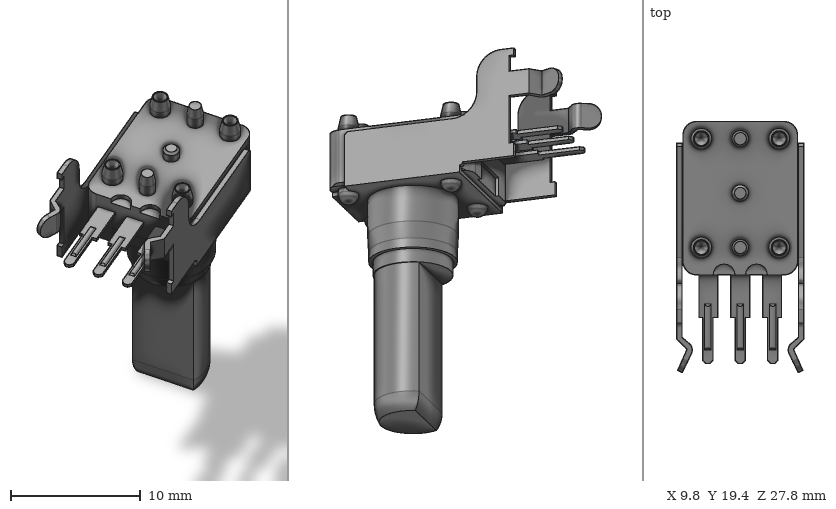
import cadquery as cq
import math


bracket_width = 9.8
bracket_half_width = bracket_width / 2
sheet = 0.42
wall_inner_x = bracket_half_width - sheet
plate_thickness = 0.33
plate_front_y = -5.55
wall_rear_y = 3.86
wall_top_z = 4.45
wall_rear_corner_radius = 0.25
wall_step_z = 0.8
wall_step_radius = 0.25
wall_front_y = -9.62
lip_front_y = -10.0
lower_lip_top_z = 1.9
upper_lip_bottom_z = 9.05
bracket_top_z = 9.65
horn_rear_y = -6.98
horn_sweep_radius = 2.0
horn_corner_radius = 2.0
bend_radius = 0.15

leg_bottom_z = 5.78
leg_width = 2.0
leg_tip_y = -13.85
leg_tip_flat = 0.05
leg_tip_radius = (leg_width - leg_tip_flat) / 2
leg_bend_y = -11.12
leg_elbow_x = 3.7
leg_elbow_y = -12.05
leg_elbow_rise = 0.4
leg_elbow_inset = 0.17
leg_tip_x = 4.48
leg_tip_lean = 0.17
leg_tip_width = 0.35
leg_bend_offset = 0.15

body_half_width = 4.42
body_rear_y = 5.53
body_front_y = -6.3
body_top_z = 4.86
body_corner_radius = 1.05
body_relief = 0.2
notch_spacing = 2.5
notch_radius = 0.83
notch_depth = 0.42
window_width = 3.98
window_top_z = 1.8
window_depth = 0.28

rivet_x = 3.0
peg_y = 4.2
rivet_radius = 0.8
rivet_tip_radius = 0.6
rivet_shoulder_z = 5.45
rivet_top_z = 6.35
rivet_hole_radius = 0.53
rivet_hole_depth = 0.83
dome_depth = 0.78
peg_radius = 0.65
peg_tip_radius = 0.47
peg_shoulder_z = 5.85
peg_top_z = 6.67
stud_top_z = 5.75
stud_chamfer = 0.2

bushing_radius = 3.5
bushing_straight_z = -2.92
bushing_end_radius = 3.42
bushing_taper_z = -4.28
bushing_end_z = -5.03
collar_radius = 3.09
collar_end_z = -6.12
shaft_radius = 3.0
shaft_end_z = -18.15
shaft_crown_z = -16.68
shaft_crown_inset = 0.4
flat_y = -1.45

terminal_pitch = 2.5
terminal_bottom_z = 3.3
terminal_thickness = 0.28
terminal_width = 1.47
terminal_half_width = terminal_width / 2
outer_terminal_shift = 0.042
pin_width = 0.8
pin_half_width = pin_width / 2
pin_shoulder_y = -9.6
pin_tip_y = -13.15
pin_tip_chamfer = 0.25
bead_rear_y = -8.55
bead_front_y = -12.1
bead_half_width = 0.235
bead_height = 0.15
bead_end_slope = 0.17

both_sides = (-1, 1)


def box(x0, x1, y0, y1, z0, z1):
    return cq.Workplane("XY").box(x1 - x0, y1 - y0, z1 - z0, centered=False).translate((x0, y0, z0))


def turned(profile):
    """Revolve an outline drawn as (radius, z) about the Z axis."""
    return profile.close().revolve(360, (0, 0, 0), (0, 1, 0))


def mirrored_pair(right_half):
    return right_half.union(right_half.mirror("YZ"))


def make_body():
    body = box(-body_half_width, body_half_width, body_front_y, body_rear_y, plate_thickness, body_top_z)
    body = body.edges("|Z").fillet(body_corner_radius)
    bevel = (
        cq.Workplane("XZ", origin=(0, body_rear_y, 0))
        .moveTo(body_half_width - body_relief, plate_thickness)
        .lineTo(body_half_width, plate_thickness)
        .lineTo(body_half_width, plate_thickness + body_relief)
        .close()
        .extrude(body_rear_y - body_front_y)
    )
    body = body.cut(mirrored_pair(bevel))
    notches = (
        cq.Workplane("XY", origin=(0, body_front_y, body_top_z - notch_depth))
        .pushPoints([(side * notch_spacing / 2, 0) for side in both_sides])
        .circle(notch_radius)
        .extrude(notch_depth)
    )
    window = box(
        -window_width / 2, window_width / 2,
        body_front_y, body_front_y + window_depth,
        plate_thickness, window_top_z,
    )
    return body.cut(notches).cut(window)


def make_wall():
    outline = (
        cq.Workplane("YZ", origin=(wall_inner_x, 0, 0))
        .moveTo(wall_rear_y, 0)
        .lineTo(wall_rear_y, wall_top_z - wall_rear_corner_radius)
        .lineTo(wall_rear_y - wall_rear_corner_radius, wall_top_z)
        .lineTo(horn_rear_y + horn_sweep_radius, wall_top_z)
        .tangentArcPoint((horn_rear_y, wall_top_z + horn_sweep_radius), relative=False)
        .lineTo(horn_rear_y, bracket_top_z - horn_corner_radius)
        .tangentArcPoint((horn_rear_y - horn_corner_radius, bracket_top_z), relative=False)
        .lineTo(lip_front_y, bracket_top_z)
        .lineTo(lip_front_y, upper_lip_bottom_z)
        .lineTo(wall_front_y, upper_lip_bottom_z)
        .lineTo(wall_front_y, lower_lip_top_z)
        .lineTo(lip_front_y, lower_lip_top_z)
        .lineTo(lip_front_y, wall_step_z)
        .lineTo(plate_front_y - wall_step_radius, wall_step_z)
        .radiusArc((plate_front_y, wall_step_z - wall_step_radius), -wall_step_radius)
        .lineTo(plate_front_y, 0)
        .close()
    )
    return outline.extrude(sheet)


def make_leg():
    """Snap leg: runs forward, bends inward, then flares back out to a rounded tip."""
    inner, outer = wall_inner_x, bracket_half_width
    leg = (
        cq.Workplane("XY", origin=(0, 0, leg_bottom_z))
        .moveTo(inner, wall_front_y)
        .lineTo(inner, leg_bend_y)
        .lineTo(leg_elbow_x + leg_elbow_inset, leg_elbow_y + leg_elbow_rise)
        .threePointArc(
            (leg_elbow_x, leg_elbow_y),
            (leg_elbow_x + leg_elbow_inset / 2, leg_elbow_y - leg_elbow_rise),
        )
        .lineTo(leg_tip_x, leg_tip_y)
        .lineTo(leg_tip_x + leg_tip_width, leg_tip_y + leg_tip_lean)
        .lineTo(leg_elbow_x + sheet, leg_elbow_y)
        .lineTo(outer, leg_bend_y - leg_bend_offset)
        .lineTo(outer, wall_front_y)
        .close()
        .extrude(leg_width)
    )
    tip_side = cq.selectors.BoxSelector(
        (inner - sheet, leg_tip_y - sheet, leg_bottom_z),
        (outer + sheet, leg_tip_y + sheet, leg_bottom_z + leg_width),
    )
    tip_face = leg.faces(tip_side)
    return leg.newObject(tip_face.edges("#Z").vals()).fillet(leg_tip_radius)


def make_bracket():
    half_width = bracket_half_width
    plate = box(-half_width, half_width, plate_front_y, wall_rear_y, 0, plate_thickness)
    tongue = box(-rivet_x, rivet_x, wall_rear_y, body_rear_y, 0, plate_thickness)
    bend = (
        cq.Workplane("XZ", origin=(0, wall_rear_y, 0))
        .moveTo(wall_inner_x - bend_radius, plate_thickness)
        .radiusArc((wall_inner_x, plate_thickness + bend_radius), -bend_radius)
        .lineTo(wall_inner_x, plate_thickness)
        .close()
        .extrude(wall_rear_y - plate_front_y)
    )
    side = make_wall().union(make_leg()).union(bend)
    return plate.union(tongue).union(mirrored_pair(side))


def make_rivet():
    rivet = turned(
        cq.Workplane("XZ")
        .moveTo(0, -dome_depth)
        .threePointArc(
            (rivet_radius * math.sin(math.pi / 4), -dome_depth * math.cos(math.pi / 4)),
            (rivet_radius, 0),
        )
        .lineTo(rivet_radius, rivet_shoulder_z)
        .lineTo(rivet_tip_radius, rivet_top_z)
        .lineTo(0, rivet_top_z)
    )
    hole = turned(
        cq.Workplane("XZ")
        .moveTo(0, rivet_top_z - rivet_hole_depth)
        .lineTo(rivet_hole_radius, rivet_top_z)
        .lineTo(0, rivet_top_z)
    )
    return rivet.cut(hole)


def make_peg():
    return turned(
        cq.Workplane("XZ")
        .moveTo(0, plate_thickness)
        .lineTo(peg_radius, plate_thickness)
        .lineTo(peg_radius, peg_shoulder_z)
        .lineTo(peg_tip_radius, peg_top_z)
        .lineTo(0, peg_top_z)
    )


def make_stud():
    stud = cq.Workplane("XY", origin=(0, 0, body_top_z)).circle(peg_radius).extrude(stud_top_z - body_top_z)
    return stud.faces(">Z").chamfer(stud_chamfer)


def make_bushing():
    return turned(
        cq.Workplane("XZ")
        .moveTo(0, 0)
        .lineTo(bushing_radius, 0)
        .lineTo(bushing_radius, bushing_straight_z)
        .tangentArcPoint((bushing_end_radius, bushing_taper_z), relative=False)
        .lineTo(bushing_end_radius, bushing_end_z)
        .lineTo(collar_radius, bushing_end_z)
        .lineTo(collar_radius, collar_end_z)
        .lineTo(0, collar_end_z)
    )


def make_shaft():
    """D-shaped shaft whose round side and flat both curve in towards the end."""
    shaft = turned(
        cq.Workplane("XZ")
        .moveTo(0, collar_end_z)
        .lineTo(shaft_radius, collar_end_z)
        .lineTo(shaft_radius, shaft_crown_z)
        .tangentArcPoint((shaft_radius - shaft_crown_inset, shaft_end_z), relative=False)
        .lineTo(0, shaft_end_z)
    )
    flat = (
        cq.Workplane("YZ", origin=(-shaft_radius, 0, 0))
        .moveTo(flat_y, collar_end_z)
        .lineTo(flat_y, shaft_crown_z)
        .tangentArcPoint((flat_y + shaft_crown_inset, shaft_end_z), relative=False)
        .lineTo(-shaft_radius, shaft_end_z)
        .lineTo(-shaft_radius, collar_end_z)
        .close()
        .extrude(2 * shaft_radius)
    )
    return shaft.cut(flat)


def make_terminal(position):
    """Terminal at position -1, 0 or 1; the outer blades sit slightly towards the centre."""
    top_z = terminal_bottom_z + terminal_thickness
    blade_x = -position * outer_terminal_shift
    root_y = body_front_y + window_depth
    blade = box(
        blade_x - terminal_half_width, blade_x + terminal_half_width,
        pin_shoulder_y, root_y, terminal_bottom_z, top_z,
    )
    pin = box(-pin_half_width, pin_half_width, pin_tip_y, root_y, terminal_bottom_z, top_z)
    pin = pin.edges("|Z and <Y").chamfer(pin_tip_chamfer)
    bead = (
        cq.Workplane("XZ", origin=(0, bead_rear_y, 0))
        .moveTo(-bead_half_width, top_z)
        .threePointArc((0, top_z + bead_height), (bead_half_width, top_z))
        .close()
        .extrude(bead_rear_y - bead_front_y)
    )
    end_profile = (
        cq.Workplane("YZ", origin=(-bead_half_width, 0, 0))
        .polyline([
            (bead_rear_y, top_z),
            (bead_rear_y - bead_end_slope, top_z + bead_height),
            (bead_front_y + bead_end_slope, top_z + bead_height),
            (bead_front_y, top_z),
        ])
        .close()
        .extrude(2 * bead_half_width)
    )
    terminal = blade.union(pin).union(bead.intersect(end_profile))
    return terminal.translate((position * terminal_pitch, 0, 0))


result = make_body().union(make_bracket()).union(make_bushing()).union(make_shaft()).union(make_stud())

for y in (-peg_y, peg_y):
    result = result.union(make_peg().translate((0, y, 0)))
    for side in both_sides:
        result = result.union(make_rivet().translate((side * rivet_x, y, 0)))

for position in (-1, 0, 1):
    result = result.union(make_terminal(position))